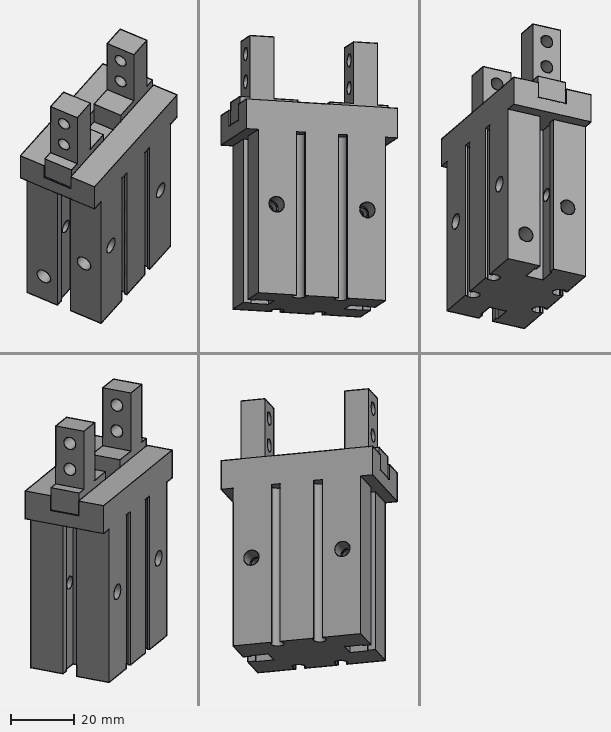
import cadquery as cq

WIDTH = 27.6
TOTAL_HEIGHT = 84.8

BLOCK_DEPTH = 42.15
HEAD_DEPTH = 50.0
HEAD_BOTTOM = 52.75
HEAD_TOP = 62.3

CHANNEL_WIDTH = 9.9
CHANNEL_FLOOR = 57.2

T_NECK_WIDTH = 4.8
T_NECK_DEPTH = 2.55
T_CHAMBER_WIDTH = 6.0
T_SLOT_DEPTH = 8.5

GROOVE_SPACING = 13.9
GROOVE_NECK_WIDTH = 2.9
GROOVE_NECK_DEPTH = 0.9
GROOVE_CHAMBER_WIDTH = 4.1
GROOVE_AXIS_DEPTH = 2.2

MOUNT_SPACING = 30.0
MOUNT_HEIGHT = 28.9
MOUNT_DIAMETER = 4.15
MOUNT_MOUTH_DIAMETER = 5.0
MOUNT_MOUTH_DEPTH = 6.8

PORT_OFFSET = 7.5
PORT_PLACES = [(PORT_OFFSET, 22.9), (-PORT_OFFSET, 10.0)]
PORT_DIAMETER = 5.0
PORT_DEPTH = 6.8

FOOT_TOP = 64.9
FOOT_INNER = 5.3
FOOT_OUTER = 24.5
JAW_THICKNESS = 7.9
JAW_OUTER = BLOCK_DEPTH / 2
JAW_INNER = JAW_OUTER - JAW_THICKNESS
JAW_HOLE_DIAMETER = 4.15
JAW_HOLE_HEIGHTS = [70.8, 79.7]


def box_between(x_range, y_range, z_range):
    """Box from its lower and upper limits on each axis."""
    lows, highs = zip(x_range, y_range, z_range)
    sizes = [high - low for low, high in zip(lows, highs)]
    return cq.Workplane("XY").box(*sizes, centered=False).translate(lows)


def across(distance):
    """Pair of positions a given distance apart, centred on zero."""
    return (-distance / 2, distance / 2)


def cylinder_along(direction, start, diameter, length):
    """Cylinder from a start point along a direction."""
    return cq.Workplane(
        cq.Solid.makeCylinder(diameter / 2, length, cq.Vector(*start), cq.Vector(*direction))
    )


def t_slot(side):
    """Cutter for the T-slot in the front (side = -1) or back (side = 1) face."""
    face = side * BLOCK_DEPTH / 2
    neck_end = face - side * T_NECK_DEPTH
    floor = face - side * T_SLOT_DEPTH
    height = (0, HEAD_BOTTOM)
    neck = box_between(across(T_NECK_WIDTH), sorted((face, neck_end)), height)
    chamber = box_between(across(T_CHAMBER_WIDTH), sorted((neck_end, floor)), height)
    return neck.union(chamber)


def sensor_groove(side, y):
    """Cutter for one groove in the left (side = -1) or right (side = 1) face."""
    face = side * WIDTH / 2
    neck_end = face - side * GROOVE_NECK_DEPTH
    axis = face - side * GROOVE_AXIS_DEPTH
    neck_limits = (y - GROOVE_NECK_WIDTH / 2, y + GROOVE_NECK_WIDTH / 2)
    chamber_limits = (y - GROOVE_CHAMBER_WIDTH / 2, y + GROOVE_CHAMBER_WIDTH / 2)
    height = (0, HEAD_BOTTOM)
    neck = box_between(sorted((face, neck_end)), neck_limits, height)
    chamber = box_between(sorted((neck_end, axis)), chamber_limits, height)
    round_bottom = cylinder_along((0, 0, 1), (axis, y, 0), GROOVE_CHAMBER_WIDTH, HEAD_BOTTOM)
    return neck.union(chamber).union(round_bottom)


def mounting_hole(y):
    """Cutter for one through hole along X with a wider mouth at each end."""
    hole = cylinder_along((1, 0, 0), (-WIDTH / 2, y, MOUNT_HEIGHT), MOUNT_DIAMETER, WIDTH)
    for side in (-1, 1):
        mouth = (side * WIDTH / 2, y, MOUNT_HEIGHT)
        hole = hole.union(cylinder_along((-side, 0, 0), mouth, MOUNT_MOUTH_DIAMETER, MOUNT_MOUTH_DEPTH))
    return hole


def make_housing():
    block = box_between(across(WIDTH), across(BLOCK_DEPTH), (0, HEAD_BOTTOM))
    head = box_between(across(WIDTH), across(HEAD_DEPTH), (HEAD_BOTTOM, HEAD_TOP))
    body = block.union(head)
    body = body.cut(box_between(across(CHANNEL_WIDTH), across(HEAD_DEPTH), (CHANNEL_FLOOR, HEAD_TOP)))
    for side in (-1, 1):
        body = body.cut(t_slot(side))
        for y in across(GROOVE_SPACING):
            body = body.cut(sensor_groove(side, y))
    for y in across(MOUNT_SPACING):
        body = body.cut(mounting_hole(y))
    for x, z in PORT_PLACES:
        body = body.cut(cylinder_along((0, 1, 0), (x, -BLOCK_DEPTH / 2, z), PORT_DIAMETER, PORT_DEPTH))
    return body


def make_finger(side):
    """Finger on the front (side = -1) or back (side = 1) half of the channel."""
    width = across(CHANNEL_WIDTH)
    foot = box_between(width, sorted((side * FOOT_INNER, side * FOOT_OUTER)), (CHANNEL_FLOOR, FOOT_TOP))
    jaw = box_between(width, sorted((side * JAW_INNER, side * JAW_OUTER)), (FOOT_TOP, TOTAL_HEIGHT))
    finger = foot.union(jaw)
    for z in JAW_HOLE_HEIGHTS:
        start = (0, side * JAW_OUTER, z)
        finger = finger.cut(cylinder_along((0, -side, 0), start, JAW_HOLE_DIAMETER, JAW_THICKNESS))
    return finger


housing = make_housing()
fingers = [make_finger(side) for side in (-1, 1)]

result = cq.Compound.makeCompound([housing.val(), *[finger.val() for finger in fingers]])